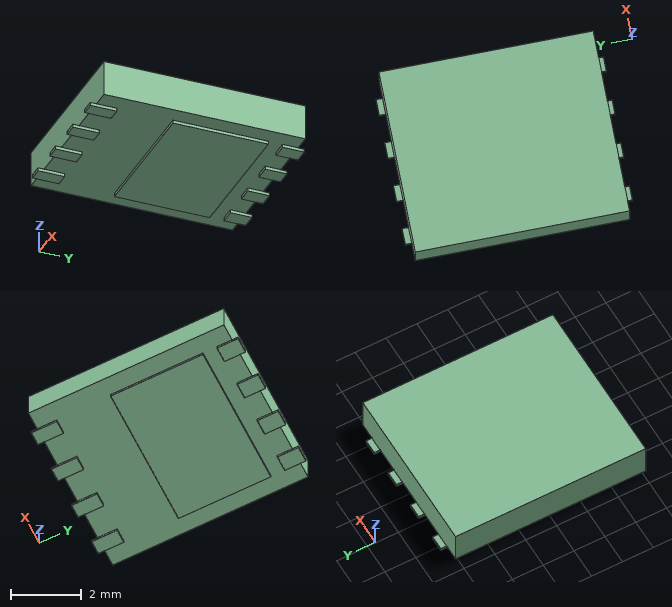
import cadquery as cq

HOUSING_WIDTH = 5.32
HOUSING_LENGTH = 6.17
OVERALL_LENGTH = 6.54
OVERALL_HEIGHT = 1.2

CONTACT_THICKNESS = 0.1
LEADS_PER_ROW = 4
LEAD_PITCH = 1.27
FRONT_LEAD_WIDTH = 0.42
FRONT_LEAD_LENGTH = 0.81
REAR_LEAD_WIDTH = 0.47
REAR_LEAD_LENGTH = 0.67
PAD_LENGTH = 2.92
REAR_LEAD_TO_PAD_GAP = 0.44

HOUSING_HEIGHT = OVERALL_HEIGHT - CONTACT_THICKNESS
FRONT_TIP_Y = -OVERALL_LENGTH / 2
REAR_TIP_Y = OVERALL_LENGTH / 2
LEAD_ROW_SPAN = (LEADS_PER_ROW - 1) * LEAD_PITCH
PAD_WIDTH = LEAD_ROW_SPAN + REAR_LEAD_WIDTH
PAD_CENTER_Y = REAR_TIP_Y - REAR_LEAD_LENGTH - REAR_LEAD_TO_PAD_GAP - PAD_LENGTH / 2


def make_housing():
    """Plain block resting on top of the contacts."""
    return (
        cq.Workplane("XY")
        .workplane(offset=CONTACT_THICKNESS)
        .box(HOUSING_WIDTH, HOUSING_LENGTH, HOUSING_HEIGHT, centered=(True, True, False))
    )


def make_contact(width, length, center_x, center_y):
    """Flat rectangular plate with its underside at Z = 0."""
    return (
        cq.Workplane("XY")
        .center(center_x, center_y)
        .box(width, length, CONTACT_THICKNESS, centered=(True, True, False))
    )


def make_lead_row(width, length, center_y):
    """Equal leads, evenly spaced along X about the middle of the housing."""
    leads = []
    for index in range(LEADS_PER_ROW):
        center_x = index * LEAD_PITCH - LEAD_ROW_SPAN / 2
        leads.append(make_contact(width, length, center_x, center_y).val())
    return leads


housing = make_housing()
thermal_pad = make_contact(PAD_WIDTH, PAD_LENGTH, 0, PAD_CENTER_Y)
front_leads = make_lead_row(FRONT_LEAD_WIDTH, FRONT_LEAD_LENGTH, FRONT_TIP_Y + FRONT_LEAD_LENGTH / 2)
rear_leads = make_lead_row(REAR_LEAD_WIDTH, REAR_LEAD_LENGTH, REAR_TIP_Y - REAR_LEAD_LENGTH / 2)

result = cq.Compound.makeCompound([housing.val(), thermal_pad.val(), *front_leads, *rear_leads])